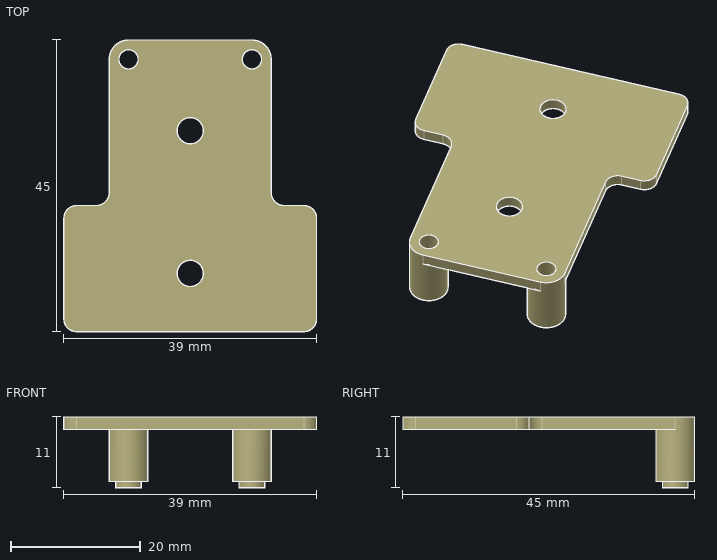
import cadquery as cq

base_width = 39.0
base_depth = 19.5
tongue_width = 25.0
total_depth = 45.0
plate_thickness = 2.0
base_corner_radius = 2.0
inner_corner_radius = 2.0

post_diameter = 6.0
post_radius = post_diameter / 2
post_length = 8.0
tip_diameter = 4.0
tip_length = 1.0
post_bore = 2.92

tongue_corner_radius = post_radius
post_x = tongue_width / 2 - post_radius
post_y = total_depth - post_radius
post_centres = [(-post_x, post_y), (post_x, post_y)]

mount_diameter = 4.0
mount_centres = [(0, 9.0), (0, 31.0)]


def make_plate():
    base = (
        cq.Workplane("XY")
        .rect(base_width, base_depth)
        .extrude(plate_thickness)
        .translate((0, base_depth / 2, 0))
    )
    tongue = (
        cq.Workplane("XY")
        .rect(tongue_width, total_depth)
        .extrude(plate_thickness)
        .translate((0, total_depth / 2, 0))
    )
    base = base.edges("|Z").fillet(base_corner_radius)
    tongue = tongue.edges("|Z and >Y").fillet(tongue_corner_radius)
    plate = base.union(tongue)

    inner_corners = cq.selectors.BoxSelector(
        (-tongue_width / 2 - 0.45, base_depth - 0.45, -0.45),
        (tongue_width / 2 + 0.45, base_depth + 0.45, plate_thickness + 0.45),
    )
    return plate.edges("|Z").edges(inner_corners).fillet(inner_corner_radius)


def make_posts():
    barrels = cq.Workplane("XY").pushPoints(post_centres).circle(post_radius).extrude(-post_length)
    tips = (
        cq.Workplane("XY")
        .workplane(offset=-post_length)
        .pushPoints(post_centres)
        .circle(tip_diameter / 2)
        .extrude(-tip_length)
    )
    return barrels.union(tips)


def through_holes(centres, diameter):
    bottom = -post_length - tip_length
    return (
        cq.Workplane("XY")
        .workplane(offset=bottom)
        .pushPoints(centres)
        .circle(diameter / 2)
        .extrude(plate_thickness - bottom)
    )


result = (
    make_plate()
    .union(make_posts())
    .cut(through_holes(post_centres, post_bore))
    .cut(through_holes(mount_centres, mount_diameter))
)